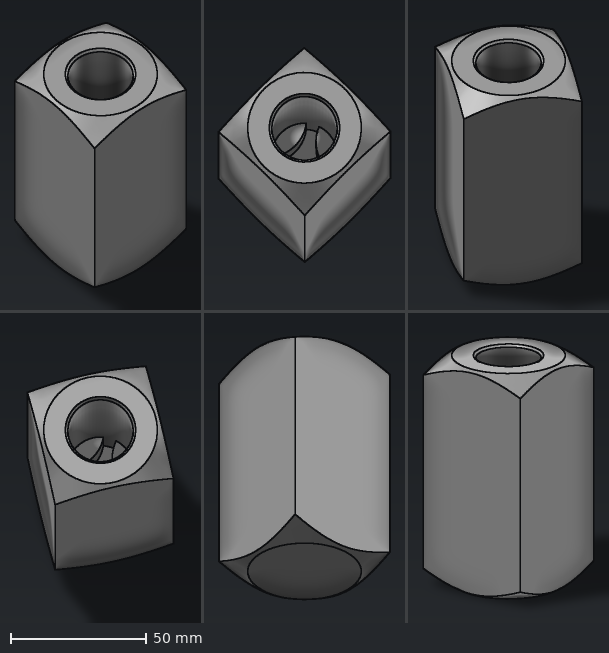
import cadquery as cq
import math

WIDTH = 45.0
HEIGHT = 88.0

CROWN_FACE_DIAMETER = 42.0
CROWN_ANGLE = 30.0

BORE_DIAMETER = 24.12
BORE_DEPTH = 44.0
BORE_MOUTH_DIAMETER = 26.0

RECESS_DEPTH = 10.0
PAD_COUNT = 3
PAD_RADIUS = 14.5
PAD_INSET = 4.9
FIRST_PAD_ANGLE = -90.0

FULL_TURN = 360.0
TOP = HEIGHT / 2
BORE_RADIUS = BORE_DIAMETER / 2
BORE_FLOOR = TOP - BORE_DEPTH


def turned(profile):
    """Solid of revolution about Z from (radius, height) points."""
    outline = cq.Workplane("XZ").polyline(profile).close()
    return outline.revolve(FULL_TURN, (0, 0, 0), (0, 1, 0))


def crowned_body():
    """Square bar whose corners are turned to a cone at both ends."""
    face_radius = CROWN_FACE_DIAMETER / 2
    corner_radius = WIDTH / math.sqrt(2)
    crown_drop = (corner_radius - face_radius) * math.tan(math.radians(CROWN_ANGLE))
    shoulder = TOP - crown_drop
    envelope = turned([
        (0, -TOP),
        (face_radius, -TOP),
        (corner_radius, -shoulder),
        (corner_radius, shoulder),
        (face_radius, TOP),
        (0, TOP),
    ])
    return cq.Workplane("XY").box(WIDTH, WIDTH, HEIGHT).intersect(envelope)


def bore():
    """Flat-bottomed bore with a 45 degree chamfer at its mouth."""
    mouth_radius = BORE_MOUTH_DIAMETER / 2
    chamfer = mouth_radius - BORE_RADIUS
    return turned([
        (0, BORE_FLOOR),
        (BORE_RADIUS, BORE_FLOOR),
        (BORE_RADIUS, TOP - chamfer),
        (mouth_radius, TOP),
        (0, TOP),
    ])


def recess():
    """Continuation of the bore, narrowed by round pads to a three-sided shape."""
    floor = cq.Workplane("XY").workplane(offset=BORE_FLOOR - RECESS_DEPTH)
    pad_distance = PAD_INSET + PAD_RADIUS
    pad_centres = floor.polarArray(pad_distance, FIRST_PAD_ANGLE, FULL_TURN, PAD_COUNT)
    pads = pad_centres.circle(PAD_RADIUS).extrude(RECESS_DEPTH)
    return floor.circle(BORE_RADIUS).extrude(RECESS_DEPTH).cut(pads)


result = crowned_body().cut(bore()).cut(recess())